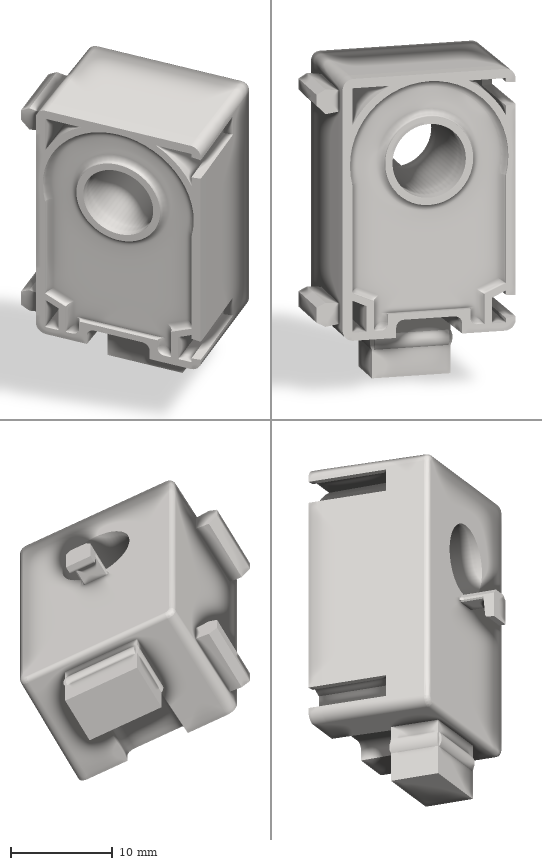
import cadquery as cq
import math


half_width = 8.85
top_z = 8.85
bottom_z = -17.8
corner_radius = 1.1
band_depth = 1.5
body_depth = 13.0
draft_angle = 1.0
draft_shrink = (body_depth - band_depth) * math.tan(math.radians(draft_angle))
bottom_flare = 0.1
back_fillet = 0.5

recess_depth = 0.65
recess_fillet = 0.64
recess_radius = 8.1
wall_thickness = 1.0
inner_half_width = half_width - wall_thickness
shoulder_outer_z = -12.98
shoulder_inner_x = 5.64
shoulder_inner_z = -13.94
recess_bottom_z = -16.97
bar_half_width = 4.2
bar_top_z = -15.34
bar_root_radius = 0.75
bore_radius = 3.75
collar_radius = 4.5

pocket_depth = 11.0
pocket_top_z = 7.9
pocket_arc_radius = 8.87
low_pocket_inner_x = 6.43
low_pocket_outer_top_z = -13.72
low_pocket_inner_top_z = -14.36

peg_tip_x = -11.1
peg_shoulder_x = -10.19
peg_end_y = 8.4
peg_embed = 0.5
upper_peg_levels = (7.39, 7.58, 7.07, 5.98, 5.05, 5.23)
lower_peg_levels = (-14.28, -14.14, -14.57, -16.12, -16.59, -16.39)
slot_flare = 0.15
slot_inner_x = 7.6
slot_overrun = 0.2

notch_half_width = 3.37
notch_top_z = -16.0
notch_radius = 0.8
notch_draft = 1.8
terminal_half_width = 4.02
terminal_front_y = 6.75
terminal_back_y = 11.87
terminal_bottom_z = -23.52
bead_z = -19.85
bead_half_height = 0.78
bead_rise_y = 0.3
bead_rise_x = 0.2
bead_half_length_x = 3.82

hook_half_width = 1.36
hook_top_z = -3.88
hook_chamfer = 0.48
hook_arm_thickness = 0.87
hook_tip_z = -6.81
hook_end_y = 16.7
hook_root_thickness = 1.13
hook_tip_thickness = 0.93
hook_tip_radius = 0.35
hook_lower_chamfer = 0.15
hook_flare_width = 0.15
hook_flare_length = 0.4


def profile_plane(y):
    """Sketch plane at depth y with local axes along X and Z; extruding by -d goes to +Y."""
    return cq.Workplane("XZ", origin=(0, y, 0))


def mirrored(shape):
    """The shape together with its mirror image across X = 0."""
    return shape.union(shape.mirror("YZ"))


def housing():
    """Straight front band and a drafted rear box with rounded corners and back edges."""
    height = top_z - bottom_z
    center_z = (top_z + bottom_z) / 2
    front = cq.Sketch().rect(2 * half_width, height).vertices().fillet(corner_radius)
    back = (
        cq.Sketch()
        .rect(2 * (half_width - draft_shrink), height - draft_shrink + bottom_flare)
        .vertices()
        .fillet(corner_radius - draft_shrink)
    )
    back_shift = cq.Vector(0, -(draft_shrink + bottom_flare) / 2, band_depth - body_depth)
    band = profile_plane(0).center(0, center_z).placeSketch(front).extrude(-band_depth)
    rear = (
        profile_plane(band_depth)
        .center(0, center_z)
        .placeSketch(front, back.moved(cq.Location(back_shift)))
        .loft()
    )
    rear = rear.faces(">Y").edges().fillet(back_fillet)
    return band.union(rear)


def recess():
    """Shallow front recess with a rounded floor edge, leaving the collar round the bore."""
    arc_end_z = -math.sqrt(recess_radius**2 - inner_half_width**2)
    outline = (
        profile_plane(0)
        .moveTo(-inner_half_width, arc_end_z)
        .threePointArc((0, recess_radius), (inner_half_width, arc_end_z))
        .lineTo(inner_half_width, shoulder_outer_z)
        .lineTo(shoulder_inner_x, shoulder_inner_z)
        .lineTo(shoulder_inner_x, recess_bottom_z)
        .lineTo(bar_half_width + bar_root_radius, recess_bottom_z)
        .radiusArc((bar_half_width, recess_bottom_z + bar_root_radius), bar_root_radius)
        .lineTo(bar_half_width, bar_top_z)
        .lineTo(-bar_half_width, bar_top_z)
        .lineTo(-bar_half_width, recess_bottom_z + bar_root_radius)
        .radiusArc((-bar_half_width - bar_root_radius, recess_bottom_z), bar_root_radius)
        .lineTo(-shoulder_inner_x, recess_bottom_z)
        .lineTo(-shoulder_inner_x, shoulder_inner_z)
        .lineTo(-inner_half_width, shoulder_outer_z)
        .close()
    )
    collar = profile_plane(0).circle(collar_radius).extrude(-recess_depth)
    cavity = outline.extrude(-recess_depth).cut(collar)
    bar_edge = cq.selectors.NearestToPointSelector((0, recess_depth, bar_top_z))
    rounded_edges = cavity.faces(">Y").edges().edges(-bar_edge)
    return cavity.newObject(rounded_edges.vals()).fillet(recess_fillet)


def front_plane():
    """Sketch plane on the front face, local x along -X, so that a positive extrusion goes to +Y."""
    return cq.Workplane(cq.Plane(origin=(0, 0, 0), xDir=(-1, 0, 0), normal=(0, 1, 0)))


def corner_pockets():
    """Drafted blind pockets: a spandrel in each upper corner, a wedge in each lower corner."""
    arc_end = math.sqrt(pocket_arc_radius**2 - pocket_top_z**2)
    arc_side_z = math.sqrt(pocket_arc_radius**2 - inner_half_width**2)
    upper = (
        front_plane()
        .moveTo(inner_half_width, pocket_top_z)
        .lineTo(arc_end, pocket_top_z)
        .radiusArc((inner_half_width, arc_side_z), pocket_arc_radius)
        .close()
        .extrude(pocket_depth, taper=draft_angle)
    )
    lower = (
        front_plane()
        .moveTo(inner_half_width, low_pocket_outer_top_z)
        .lineTo(low_pocket_inner_x, low_pocket_inner_top_z)
        .lineTo(low_pocket_inner_x, recess_bottom_z)
        .lineTo(inner_half_width, recess_bottom_z)
        .close()
        .extrude(pocket_depth, taper=draft_angle)
    )
    return mirrored(upper.union(lower))


def peg(levels):
    """Peg standing out from the -X wall, running along Y behind the front band."""
    shank_top, shoulder_top, tip_top, tip_bottom, shoulder_bottom, shank_bottom = levels
    root_x = -half_width + peg_embed
    outline = [
        (root_x, shank_top),
        (-half_width, shank_top),
        (peg_shoulder_x, shoulder_top),
        (peg_tip_x, tip_top),
        (peg_tip_x, tip_bottom),
        (peg_shoulder_x, shoulder_bottom),
        (-half_width, shank_bottom),
        (root_x, shank_bottom),
    ]
    return profile_plane(band_depth).polyline(outline).close().extrude(band_depth - peg_end_y)


def slot(levels):
    """Dovetail slot through the +X wall, open at the front, that receives a neighbour's peg."""
    shank_top = levels[0]
    shank_bottom = levels[-1]
    outer_x = half_width + slot_overrun
    outline = [
        (slot_inner_x, shank_top + slot_flare),
        (outer_x, shank_top),
        (outer_x, shank_bottom),
        (slot_inner_x, shank_bottom - slot_flare),
    ]
    return profile_plane(0).polyline(outline).close().extrude(-peg_end_y)


def bottom_notch():
    """Drafted notch under the front, reaching back to the terminal block."""
    height = 2 * (notch_top_z - bottom_z + bottom_flare)
    mid_y = terminal_front_y / 2
    left_corner = cq.selectors.NearestToPointSelector((-notch_half_width, mid_y, notch_top_z))
    right_corner = cq.selectors.NearestToPointSelector((notch_half_width, mid_y, notch_top_z))
    upper_corners = left_corner + right_corner
    return (
        front_plane()
        .center(0, bottom_z - bottom_flare)
        .rect(2 * notch_half_width, height)
        .extrude(terminal_front_y, taper=notch_draft)
        .edges(upper_corners)
        .fillet(notch_radius)
    )


def bead_bar(rise, length):
    """Bar along X with a lens-shaped section standing on the bead's height, `rise` to either side."""
    return (
        cq.Workplane("YZ", origin=(-length / 2, 0, 0))
        .moveTo(0, -bead_half_height)
        .threePointArc((rise, 0), (0, bead_half_height))
        .threePointArc((-rise, 0), (0, -bead_half_height))
        .close()
        .extrude(length)
    )


def terminal():
    """Terminal block hanging below the housing, with a raised bead round all four sides."""
    depth = terminal_back_y - terminal_front_y
    center_y = (terminal_front_y + terminal_back_y) / 2
    block = (
        cq.Workplane("XY", origin=(0, center_y, terminal_bottom_z))
        .rect(2 * terminal_half_width, depth)
        .extrude(notch_top_z - terminal_bottom_z)
    )
    long_bead = bead_bar(bead_rise_y, 2 * bead_half_length_x)
    side_bead = bead_bar(bead_rise_x, depth).rotate((0, 0, 0), (0, 0, 1), 90)
    for y in (terminal_front_y, terminal_back_y):
        block = block.union(long_bead.translate((0, y, bead_z)))
    for x in (-terminal_half_width, terminal_half_width):
        block = block.union(side_bead.translate((x, center_y, bead_z)))
    return block


def hook():
    """Latch on the back face: an arm with bevelled upper edges and a tapered tab pointing down."""
    arm_bottom_z = hook_top_z - hook_arm_thickness
    profile = (
        cq.Workplane("YZ", origin=(-hook_half_width, 0, 0))
        .moveTo(body_depth, hook_top_z)
        .lineTo(hook_end_y, hook_top_z)
        .lineTo(hook_end_y, hook_tip_z)
        .lineTo(hook_end_y - hook_tip_thickness, hook_tip_z)
        .lineTo(hook_end_y - hook_root_thickness, arm_bottom_z)
        .lineTo(body_depth, arm_bottom_z)
        .close()
        .extrude(2 * hook_half_width)
    )
    tip_edge = cq.selectors.NearestToPointSelector((0, hook_end_y - hook_tip_thickness, hook_tip_z))
    latch = profile.edges(tip_edge).fillet(hook_tip_radius)
    latch = latch.edges("|Y and >Z").chamfer(hook_chamfer)
    arm_middle_y = (body_depth + hook_end_y - hook_root_thickness) / 2
    for x in (-hook_half_width, hook_half_width):
        lower_edge = cq.selectors.NearestToPointSelector((x, arm_middle_y, arm_bottom_z))
        latch = latch.edges(lower_edge).chamfer(hook_lower_chamfer)
    return latch


def hook_flare():
    """Web at the root of the latch arm that widens it towards the back face."""
    base_z = hook_top_z - hook_arm_thickness + hook_lower_chamfer
    height = hook_top_z - hook_chamfer - base_z
    outline = [
        (-hook_half_width - hook_flare_width, body_depth),
        (hook_half_width + hook_flare_width, body_depth),
        (hook_half_width, body_depth + hook_flare_length),
        (-hook_half_width, body_depth + hook_flare_length),
    ]
    return cq.Workplane("XY", origin=(0, 0, base_z)).polyline(outline).close().extrude(height)


def bore():
    """Plain round bore through the full depth of the housing."""
    return profile_plane(0).circle(bore_radius).extrude(-body_depth)


result = housing().cut(recess()).cut(corner_pockets()).cut(bore()).cut(bottom_notch())
for peg_levels in (upper_peg_levels, lower_peg_levels):
    result = result.cut(slot(peg_levels)).union(peg(peg_levels))
result = result.union(terminal()).union(hook()).union(hook_flare())